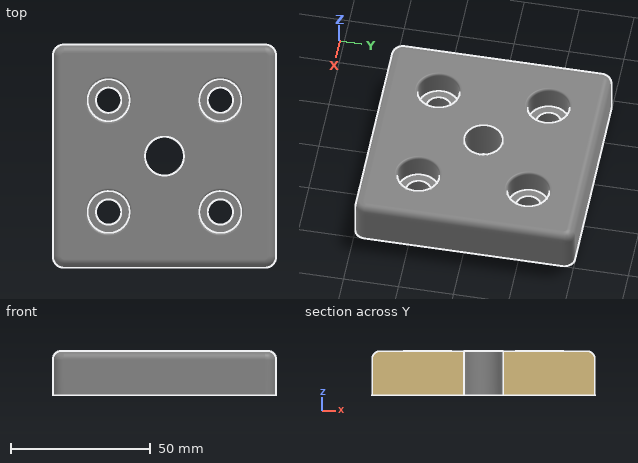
import cadquery as cq
import math

side = 80.0
thickness = 16.0
corner_radius = 4.0
top_edge_radius = 3.0

center_hole_diameter = 13.8
bolt_spacing = side / 2
bolt_hole_diameter = 9.0
counterbore_diameter = 15.0
counterbore_depth = 9.0
mouth_radius = 1.0


def rounded_plate():
    """Square plate with its bottom on Z = 0, rounded corners and a rounded top edge."""
    plate = cq.Workplane("XY").box(side, side, thickness, centered=(True, True, False))
    plate = plate.edges("|Z").fillet(corner_radius)
    return plate.faces(">Z").edges().fillet(top_edge_radius)


def bolt_hole_cutter():
    """Turned body of one bolt hole: through bore, flat-bottomed counterbore, rounded mouth."""
    bore_radius = bolt_hole_diameter / 2
    counterbore_radius = counterbore_diameter / 2
    counterbore_floor = thickness - counterbore_depth
    mouth_mid_offset = mouth_radius * (1 - math.sqrt(0.5))
    profile = (
        cq.Workplane("XZ")
        .lineTo(bore_radius, 0)
        .lineTo(bore_radius, counterbore_floor)
        .lineTo(counterbore_radius, counterbore_floor)
        .lineTo(counterbore_radius, thickness - mouth_radius)
        .threePointArc(
            (counterbore_radius + mouth_mid_offset, thickness - mouth_mid_offset),
            (counterbore_radius + mouth_radius, thickness),
        )
        .lineTo(0, thickness)
        .close()
    )
    return profile.revolve(360, (0, 0), (0, 1))


result = rounded_plate()

center_hole = cq.Workplane("XY").circle(center_hole_diameter / 2).extrude(thickness)
result = result.cut(center_hole)

bolt_hole = bolt_hole_cutter()
for x in (-bolt_spacing / 2, bolt_spacing / 2):
    for y in (-bolt_spacing / 2, bolt_spacing / 2):
        result = result.cut(bolt_hole.translate((x, y, 0)))